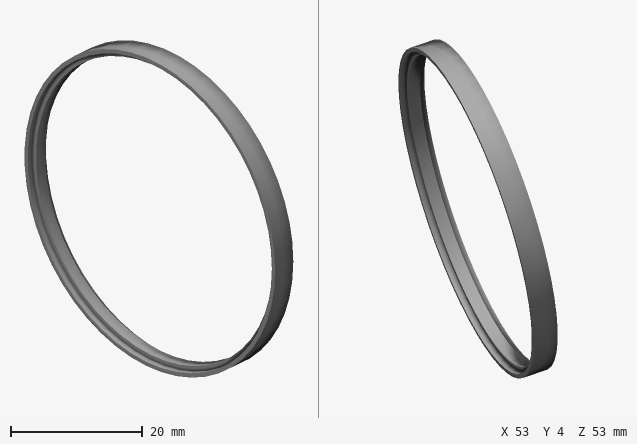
import cadquery as cq

outer_diameter = 53.0
counterbore_diameter = 51.6
bore_diameter = 50.05
width = 4.0
counterbore_depth = 1.0


def disc(diameter, length, start):
    """Cylinder about the Y axis, from Y = start toward +Y."""
    base = cq.Workplane("XZ", origin=(0, start, 0))
    return base.circle(diameter / 2).extrude(-length)


front_face = -width / 2
back_face = width / 2

result = disc(outer_diameter, width, front_face).cut(disc(bore_diameter, width, front_face))

for start in (front_face, back_face - counterbore_depth):
    result = result.cut(disc(counterbore_diameter, counterbore_depth, start))